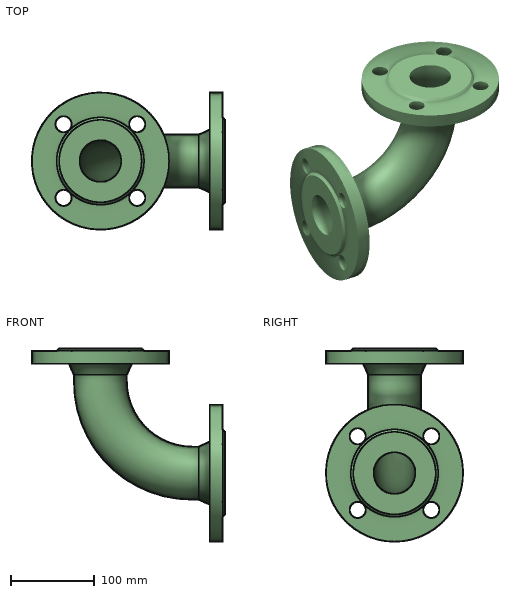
import cadquery as cq

flange_diameter = 165.0
flange_thickness = 15.5
raised_face_diameter = 105.0
raised_face_height = 3.0
bolt_circle_diameter = 125.0
bolt_hole_diameter = 19.0
bolt_count = 4

pipe_diameter = 64.0
bore_diameter = 50.0
hub_diameter = 75.8
hub_length = 13.3
neck_length = 8.1

overall_size = 232.5
face_distance = overall_size - flange_diameter / 2
flange_length = raised_face_height + flange_thickness + hub_length + neck_length
bend_radius = face_distance - flange_length


def weld_neck_flange():
    """Flange along +Z, with its pipe end at Z = 0 and its sealing face on top."""
    pipe_radius = pipe_diameter / 2
    flange_radius = flange_diameter / 2
    raised_face_radius = raised_face_diameter / 2
    flange_bottom = neck_length + hub_length
    flange_top = flange_bottom + flange_thickness
    body = (
        cq.Workplane("XZ")
        .moveTo(bore_diameter / 2, 0)
        .lineTo(pipe_radius, 0)
        .lineTo(pipe_radius, neck_length)
        .lineTo(hub_diameter / 2, flange_bottom)
        .lineTo(flange_radius, flange_bottom)
        .lineTo(flange_radius, flange_top)
        .lineTo(raised_face_radius, flange_top)
        .lineTo(raised_face_radius - raised_face_height, flange_length)
        .lineTo(bore_diameter / 2, flange_length)
        .close()
        .revolve(360, (0, 0, 0), (0, 1, 0))
    )
    bolt_holes = (
        cq.Workplane("XY")
        .workplane(offset=flange_bottom)
        .polarArray(bolt_circle_diameter / 2, 180 / bolt_count, 360, bolt_count)
        .circle(bolt_hole_diameter / 2)
        .extrude(flange_thickness)
    )
    return body.cut(bolt_holes)


def elbow():
    """Quarter bend from the vertical axis at the origin to the +X axis below it."""
    return (
        cq.Workplane("XY")
        .circle(pipe_diameter / 2)
        .circle(bore_diameter / 2)
        .revolve(90, (bend_radius, 0, 0), (bend_radius, -1, 0))
    )


top_flange = weld_neck_flange()
side_flange = (
    weld_neck_flange()
    .rotate((0, 0, 0), (0, 1, 0), 90)
    .translate((bend_radius, 0, -bend_radius))
)
result = elbow().union(top_flange).union(side_flange)